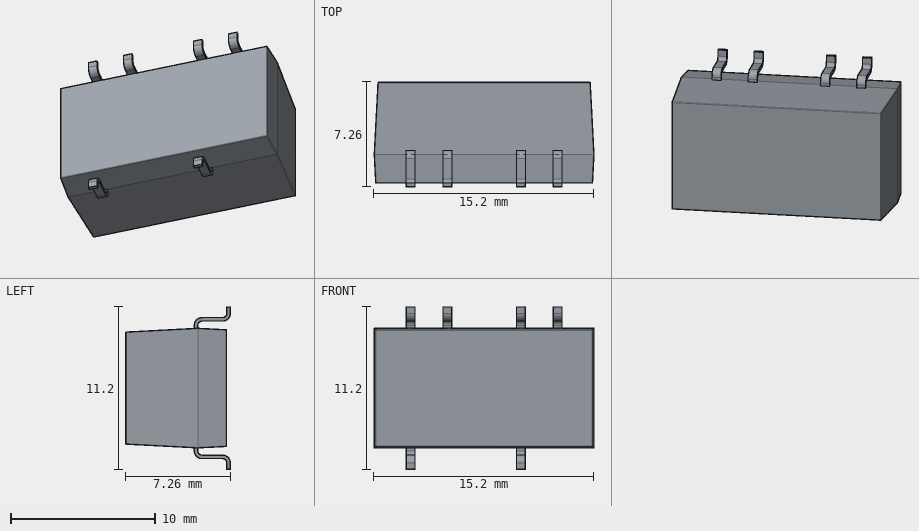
import cadquery as cq
import math

body_width = 15.24
body_height = 8.3
rear_depth = 5.0
front_depth = 2.0
draft_angle = 3.0
edge_radius = 0.05

lead_width = 0.62
lead_thickness = 0.26
lead_inner_radius = 0.29
lead_outer_radius = lead_inner_radius + lead_thickness
lead_span = 11.25
lead_foot_length = 0.44
lead_standoff = 0.26
lead_embed = 0.15
lead_pitch = 2.55
upper_lead_slots = (-2, -1, 1, 2)
lower_lead_slots = (-2, 1)

front_face_y = -front_depth
lead_tip_z = lead_span / 2
lead_tip_y = front_face_y - lead_standoff


def tapered_half(depth, direction):
    """Half of the body, narrowing away from the parting plane along +Y or -Y.

    Every edge is rounded except the sharp outline where the halves meet.
    """
    plane = cq.Plane(origin=(0, 0, 0), xDir=(1, 0, 0), normal=(0, direction, 0))
    half = cq.Workplane(plane).rect(body_width, body_height).extrude(depth, taper=draft_angle)
    parting_outline = "<Y" if direction > 0 else ">Y"
    return half.edges(f"not {parting_outline}").fillet(edge_radius)


def make_body():
    """Rear and front halves joined at the parting plane."""
    return tapered_half(rear_depth, 1).union(tapered_half(front_depth, -1))


def make_upper_lead(x_center):
    """Lead rising from the body, running forward and turning up into its foot."""
    corner = math.sqrt(0.5)
    foot_bend_z = lead_tip_z - lead_foot_length
    arm_bottom_z = foot_bend_z - lead_outer_radius
    arm_top_z = arm_bottom_z + lead_thickness
    root_bend_z = arm_top_z - lead_outer_radius
    root_bend_y = lead_thickness - lead_outer_radius
    foot_bend_y = lead_tip_y + lead_outer_radius
    root_z = body_height / 2 - lead_embed
    inner = lead_inner_radius * corner
    outer = lead_outer_radius * corner

    profile = (
        cq.Workplane("YZ", origin=(x_center - lead_width / 2, 0, 0))
        .moveTo(0, root_z)
        .lineTo(lead_thickness, root_z)
        .lineTo(lead_thickness, root_bend_z)
        .threePointArc((root_bend_y + outer, root_bend_z + outer), (root_bend_y, arm_top_z))
        .lineTo(foot_bend_y, arm_top_z)
        .threePointArc(
            (foot_bend_y - inner, foot_bend_z - inner),
            (lead_tip_y + lead_thickness, foot_bend_z),
        )
        .lineTo(lead_tip_y + lead_thickness, lead_tip_z)
        .lineTo(lead_tip_y, lead_tip_z)
        .lineTo(lead_tip_y, foot_bend_z)
        .threePointArc((foot_bend_y - outer, foot_bend_z - outer), (foot_bend_y, arm_bottom_z))
        .lineTo(root_bend_y, arm_bottom_z)
        .threePointArc((root_bend_y + inner, root_bend_z + inner), (0, root_bend_z))
        .close()
    )
    return profile.extrude(lead_width)


result = make_body()
for slot in upper_lead_slots:
    result = result.union(make_upper_lead(slot * lead_pitch))
for slot in lower_lead_slots:
    result = result.union(make_upper_lead(slot * lead_pitch).mirror("XY"))